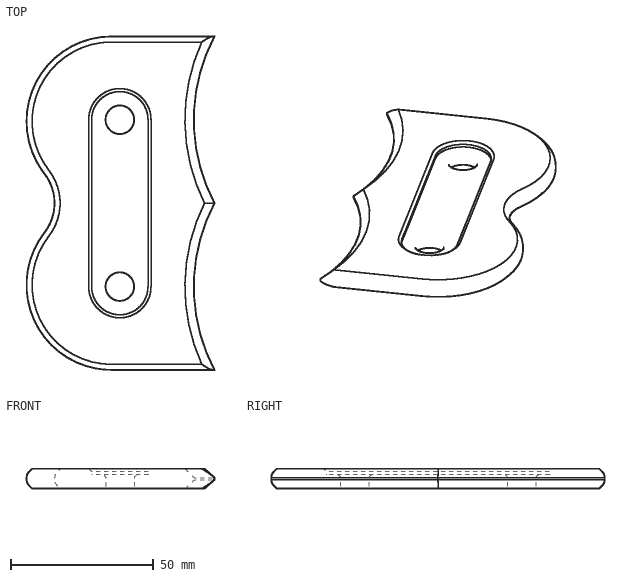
import cadquery as cq
import math

length = 117.5
thickness = 7.0
tip_x = 66.2
lobe_radius = 30.0
lobe_y = length / 2 - lobe_radius
waist_x = 9.9

edge_chamfer = 2.0
edge_blend_radius = 2.8

scallop_depth = 7.3
bevel = 3.2

hole_x = 32.9
hole_pitch = 58.7
hole_diameter = 10.0
hole_rim_radius = 1.4
recess_width = 22.0
recess_depth = 2.0
recess_chamfer_run = 1.0
recess_chamfer_drop = 0.9

half_length = length / 2
half_thickness = thickness / 2
overrun = 5.9
tolerance = 0.0001


def rounded_plate():
    """Two lobes joined by a tangent waist arc, with softened edges and an overlong +X end."""
    waist_gap = lobe_radius - waist_x
    waist_radius = (waist_gap**2 + lobe_y**2 - lobe_radius**2) / (2 * (lobe_radius - waist_gap))
    waist_center_x = waist_x - waist_radius
    share = lobe_radius / (lobe_radius + waist_radius)
    join_x = lobe_radius - share * (lobe_radius - waist_center_x)
    join_y = lobe_y * (1 - share)
    end_x = tip_x + overrun
    outline = (
        cq.Workplane("XY", origin=(0, 0, -half_thickness))
        .moveTo(end_x, half_length)
        .lineTo(lobe_radius, half_length)
        .threePointArc((0, lobe_y), (join_x, join_y))
        .threePointArc((waist_x, 0), (join_x, -join_y))
        .threePointArc((0, -lobe_y), (lobe_radius, -half_length))
        .lineTo(end_x, -half_length)
        .close()
    )
    plate = outline.extrude(thickness)
    plate = plate.faces("|Z").edges("not(>X)").chamfer(edge_chamfer)
    side_height = half_thickness - edge_chamfer
    side_edges = [
        edge
        for edge in plate.edges("not(|Z)").vals()
        if abs(abs(edge.Center().z) - side_height) < tolerance
        and edge.BoundingBox().zlen < tolerance
        and edge.Center().x < end_x - tolerance
    ]
    return plate.newObject(side_edges).fillet(edge_blend_radius)


def scallop_cutter(center_y):
    """Disc with a V-grooved rim, leaving a double bevel on the scalloped side."""
    half_chord = length / 4
    radius = (half_chord**2 + scallop_depth**2) / (2 * scallop_depth)
    center_x = tip_x - scallop_depth + radius
    land = half_thickness - bevel
    profile = [
        (0, -half_thickness),
        (radius + bevel, -half_thickness),
        (radius, -land),
        (radius, land),
        (radius + bevel, half_thickness),
        (0, half_thickness),
    ]
    disc = cq.Workplane("XZ").polyline(profile).close().revolve(360, (0, 0), (0, 1))
    return disc.translate((center_x, center_y, 0))


def recess_cutter():
    """Slot-shaped recess with upright walls below a chamfered mouth."""
    slope = math.degrees(math.atan2(recess_chamfer_run, recess_chamfer_drop))
    floor_width = recess_width - 2 * recess_chamfer_run
    top = cq.Workplane("XY", origin=(hole_x, 0, half_thickness))
    mouth = top.slot2D(hole_pitch + recess_width, recess_width, 90).extrude(-recess_chamfer_drop, taper=slope)
    pocket = top.slot2D(hole_pitch + floor_width, floor_width, 90).extrude(-recess_depth)
    return mouth.union(pocket)


def hole_cutter(center_y):
    """Through hole with its rims rounded at the recess floor and at the underside."""
    radius = hole_diameter / 2
    rim = radius + hole_rim_radius
    floor_z = half_thickness - recess_depth
    bulge = hole_rim_radius * (1 - math.sqrt(0.5))
    profile = (
        cq.Workplane("XZ")
        .moveTo(0, -half_thickness)
        .lineTo(rim, -half_thickness)
        .threePointArc((radius + bulge, -half_thickness + bulge), (radius, -half_thickness + hole_rim_radius))
        .lineTo(radius, floor_z - hole_rim_radius)
        .threePointArc((radius + bulge, floor_z - bulge), (rim, floor_z))
        .lineTo(0, floor_z)
        .close()
    )
    return profile.revolve(360, (0, 0), (0, 1)).translate((hole_x, center_y, 0))


result = rounded_plate().cut(recess_cutter())
for side in (-1, 1):
    result = result.cut(scallop_cutter(side * length / 4))
    result = result.cut(hole_cutter(side * hole_pitch / 2))